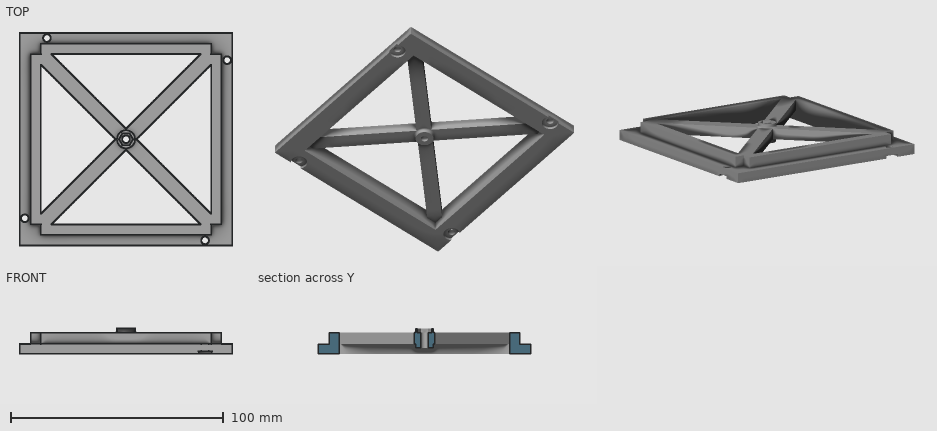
import cadquery as cq
import math

plate_side = 100.0
plate_thickness = 4.8
frame_thickness = 5.2
step_width = 5.0
frame_clearance = 0.15
frame_side = plate_side - 2 * (step_width + frame_clearance)
window_side = plate_side - 4 * step_width
frame_top = plate_thickness + frame_thickness

window_corner_setback = 5.0
strut_width = math.sqrt(2) * window_corner_setback
strut_length = math.sqrt(2) * window_side

screw_diameter = 3.5
boss_diameter = 8.5
boss_height = 2.0
boss_fillet = 0.75
boss_top = frame_top + boss_height
nut_across_flats = 5.75
nut_pocket_depth = 2.0

hole_edge_distance = 2.4
hole_across = plate_side / 2 - hole_edge_distance
hole_along = 37.2
counterbore_diameter = 7.75
counterbore_depth = 1.3


def square_block(side, bottom, height):
    """Centred square block standing on the plane z = bottom."""
    return cq.Workplane("XY").workplane(offset=bottom).rect(side, side).extrude(height)


def stepped_frame():
    """Square plate carrying a raised frame with notched corners, opened by a square window."""
    layer = cq.Workplane("XY").workplane(offset=plate_thickness)
    raised_x = layer.rect(frame_side, window_side).extrude(frame_thickness)
    raised_y = layer.rect(window_side, frame_side).extrude(frame_thickness)
    plate = square_block(plate_side, 0, plate_thickness)
    window = square_block(window_side, 0, frame_top)
    return plate.union(raised_x).union(raised_y).cut(window)


def diagonal_cross():
    """Two crossing struts, their ends buried in the frame's corners."""
    strut = (
        cq.Workplane("XY")
        .workplane(offset=plate_thickness)
        .rect(strut_length, strut_width)
        .extrude(frame_thickness)
    )
    cross = cq.Workplane("XY")
    for angle in (45, 135):
        cross = cross.union(strut.rotate((0, 0, 0), (0, 0, 1), angle))
    return cross


def upper_boss():
    """Round boss on top of the crossing, whose foot flares out in a concave fillet."""
    radius = boss_diameter / 2
    foot_radius = radius + boss_fillet
    arc_offset = boss_fillet * (1 - math.sqrt(0.5))
    return (
        cq.Workplane("XZ")
        .moveTo(0, frame_top)
        .lineTo(foot_radius, frame_top)
        .threePointArc(
            (radius + arc_offset, frame_top + arc_offset),
            (radius, frame_top + boss_fillet),
        )
        .lineTo(radius, boss_top)
        .lineTo(0, boss_top)
        .close()
        .revolve(360, (0, 0, 0), (0, 1, 0))
    )


def lower_boss():
    """Mirror image of the upper boss, hanging below the crossing."""
    middle = plate_thickness + frame_thickness / 2
    return upper_boss().mirror("XY", (0, 0, middle))


def center_opening():
    """Screw hole through the cross, with a hexagonal nut pocket sunk from the boss top."""
    across_corners = nut_across_flats / math.cos(math.pi / 6)
    nut_pocket = (
        cq.Workplane("XY")
        .workplane(offset=boss_top - nut_pocket_depth)
        .polygon(6, across_corners)
        .extrude(nut_pocket_depth)
    )
    screw_hole = cq.Workplane("XY").circle(screw_diameter / 2).extrude(boss_top)
    return nut_pocket.union(screw_hole)


def edge_holes():
    """Four counterbored holes, each a quarter turn from the last."""
    centers = [
        (hole_across, hole_along),
        (-hole_along, hole_across),
        (-hole_across, -hole_along),
        (hole_along, -hole_across),
    ]
    points = cq.Workplane("XY").pushPoints(centers)
    shafts = points.circle(screw_diameter / 2).extrude(plate_thickness)
    counterbores = points.circle(counterbore_diameter / 2).extrude(counterbore_depth)
    return shafts.union(counterbores)


result = (
    stepped_frame()
    .union(diagonal_cross())
    .union(upper_boss())
    .union(lower_boss())
    .cut(center_opening())
    .cut(edge_holes())
)